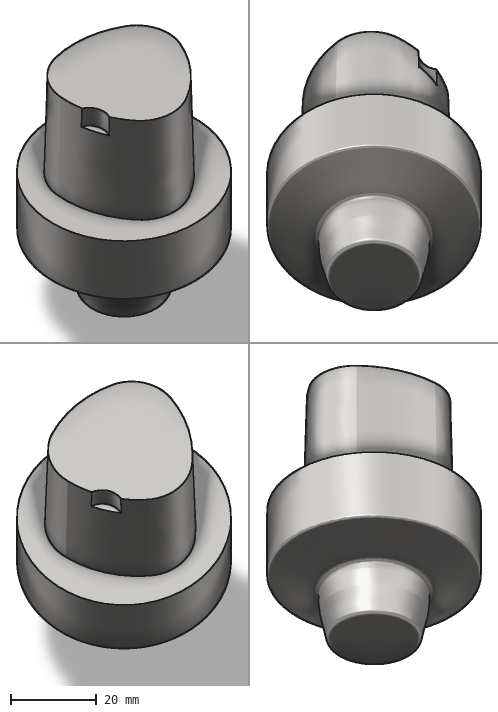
import cadquery as cq
import math


shank_height = 30.0
shank_lobe_reach = 18.7
shank_side_reach = 16.35
lobe_radius = 11.85
lobe_count = 3
first_lobe_angle = 90.0
shank_width_taper = 1 / 20
shank_draft = math.degrees(math.atan(shank_width_taper / 2))

notch_radius = 5.0
notch_depth = 5.6
notch_inner_y = -13.95

flange_radius = 25.0
flange_corner_z = -18.0
flange_rounding = 0.8
cone_angle = 20.0

spigot_radius = 13.0
spigot_blend = 1.2
spigot_cylinder_end_z = -24.45
spigot_end_z = -36.0
spigot_lead_in_radius = 20.0
spigot_taper = 12.0
spigot_end_rounding = 1.3


def polar(radius, angle):
    """Point at the given distance and angle in degrees around the axis."""
    return (
        radius * math.cos(math.radians(angle)),
        radius * math.sin(math.radians(angle)),
    )


def make_shank():
    """Drafted three-lobed shank."""
    lobe_center = shank_lobe_reach - lobe_radius
    radius_gap = shank_side_reach - lobe_radius
    side_center = (lobe_center**2 - radius_gap**2) / (2 * radius_gap - lobe_center)

    pitch = 360.0 / lobe_count
    half_pitch = pitch / 2
    across = side_center * math.sin(math.radians(half_pitch))
    along = lobe_center + side_center * math.cos(math.radians(half_pitch))
    joint_direction = math.atan2(across, along)
    joint_across = lobe_radius * math.sin(joint_direction)
    joint_along = lobe_center + lobe_radius * math.cos(joint_direction)
    joint_radius = math.hypot(joint_across, joint_along)
    joint_angle = math.degrees(math.atan2(joint_across, joint_along))

    outline = cq.Workplane("XY").moveTo(*polar(joint_radius, first_lobe_angle - joint_angle))
    for index in range(lobe_count):
        lobe_angle = first_lobe_angle + index * pitch
        outline = outline.threePointArc(
            polar(shank_lobe_reach, lobe_angle),
            polar(joint_radius, lobe_angle + joint_angle),
        )
        outline = outline.threePointArc(
            polar(shank_side_reach, lobe_angle + half_pitch),
            polar(joint_radius, lobe_angle + pitch - joint_angle),
        )
    return outline.close().extrude(shank_height, taper=shank_draft)


def make_notch():
    """Upright round cutter for the keyway notch."""
    return (
        cq.Workplane("XY")
        .workplane(offset=shank_height - notch_depth)
        .center(0, notch_inner_y - notch_radius)
        .circle(notch_radius)
        .extrude(notch_depth)
    )


def make_flange_and_spigot():
    """Revolved flange, underside cone and tapered spigot."""
    cone_drop = (flange_radius - spigot_radius) * math.tan(math.radians(cone_angle))
    neck_z = flange_corner_z - cone_drop

    taper = math.radians(spigot_taper)
    half_taper = taper / 2
    taper_start_radius = spigot_radius - spigot_lead_in_radius * (1 - math.cos(taper))
    taper_start_z = spigot_cylinder_end_z - spigot_lead_in_radius * math.sin(taper)
    lead_in_mid_radius = spigot_radius - spigot_lead_in_radius * (1 - math.cos(half_taper))
    lead_in_mid_z = spigot_cylinder_end_z - spigot_lead_in_radius * math.sin(half_taper)
    spigot_end_radius = taper_start_radius - (taper_start_z - spigot_end_z) * math.tan(taper)

    body = (
        cq.Workplane("XZ")
        .lineTo(flange_radius, 0)
        .lineTo(flange_radius, flange_corner_z)
        .lineTo(spigot_radius, neck_z)
        .lineTo(spigot_radius, spigot_cylinder_end_z)
        .threePointArc((lead_in_mid_radius, lead_in_mid_z), (taper_start_radius, taper_start_z))
        .lineTo(spigot_end_radius, spigot_end_z)
        .lineTo(0, spigot_end_z)
        .close()
        .revolve(360, (0, 0, 0), (0, 1, 0))
    )

    body = round_ring(body, flange_radius, flange_corner_z, flange_rounding)
    body = round_ring(body, spigot_radius, neck_z, spigot_blend)
    return round_ring(body, spigot_end_radius, spigot_end_z, spigot_end_rounding)


def round_ring(body, ring_radius, ring_z, rounding):
    """Fillet the circular edge of the given radius and height."""
    margin = 0.01
    reach = ring_radius + margin
    ring = cq.selectors.BoxSelector(
        (-reach, -reach, ring_z - margin), (reach, reach, ring_z + margin), boundingbox=True
    )
    return body.edges(ring).fillet(rounding)


shank = make_shank().cut(make_notch())
result = make_flange_and_spigot().union(shank)